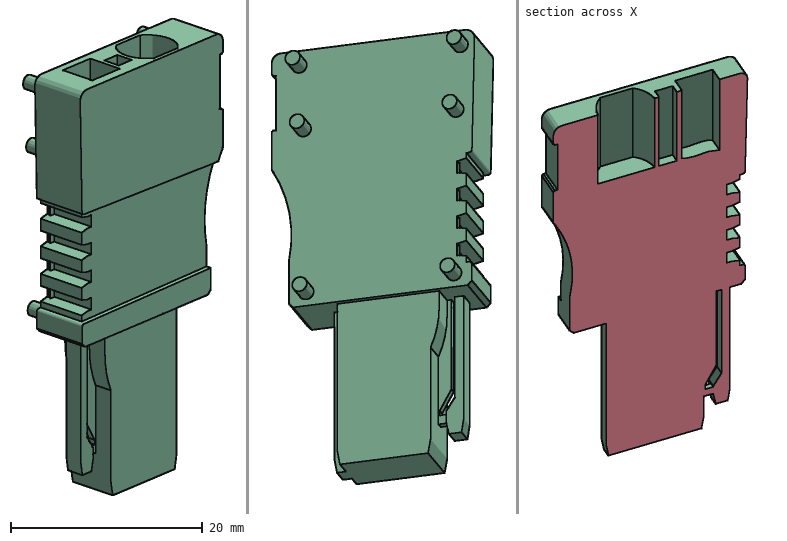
import cadquery as cq
import math

total_height = 47.3
housing_width = 6.4
housing_depth = 22.35
housing_bottom = 18.25

top_fillet = 1.05
bottom_chamfer = 0.45
front_lean = 0.3
back_foot_y = 20.45
edge_round = 0.35
pick_margin = 0.05
label_notch_top = 44.85
label_notch_bottom = 38.65
label_notch_depth = 0.45
label_notch_chamfer = 0.2
thumb_top = 34.2
thumb_middle = 26.45
thumb_depth = 2.18

grip_top = 33.3
grip_bottom = 20.9
grip_front_y = 0.9
groove_count = 4
groove_pitch = 3.1
first_groove_z = 31.85
groove_mouth = 1.75
groove_floor = 1.32
groove_depth = 0.9
groove_strip_width = 0.3
groove_strip_depth = 0.15
groove_bevel_end = 0.55
groove_pocket_depth = 0.6

side_recess_depth = 0.6
side_recess_top = 32.85
side_recess_bottom = 21.2

pin_radius = 0.8
pin_length = 2.3
pin_rows = [(45.6, 1.5, 19.25), (38.3, 2.0, 18.8), (19.78, 2.2, 18.5)]

opening_depth = 9.45
screw_hole_diameter = 6.5
screw_hole_width = 5.3
screw_hole_x = 3.2
screw_hole_y = 13.95
test_hole_side = 2.05
test_hole_x = 3.45
test_hole_y = 9.2
wire_hole_width = 4.15
wire_hole_x = 3.08
wire_hole_front = 3.25
wire_hole_back = 7.55
wire_floor_front = 4.5
wire_floor_back = 7.2
wire_rise_front = 0.25
wire_rise_back = 0.15

plug_left = 0.55
plug_right = 6.2
plug_front = 5.0
plug_back = 15.3
plug_overlap = 0.95
tip_taper_height = 1.55
tip_taper = 0.3
shoulder_front = 4.05
shoulder_top = 16.4
shoulder_bottom = 11.95

blade_left = 2.6
blade_width = 2.05
web_width = 0.8
web_left = blade_left + (blade_width - web_width) / 2
rib_back = 16.27
fin_front = 3.6
fin_bevel_top = 8.1
fin_bevel_bottom = 5.8
fin_foot_front = 4.85
latch_front = 2.05
latch_back = 3.05
latch_heel_back = 3.97
latch_heel_top = 5.4
latch_heel_bottom = 4.2
latch_bevel_top = 6.85
latch_taper_top = 4.3
latch_bottom = 2.8
latch_tip_front = 2.25
latch_tip_back = 3.7
bridge_top = 5.3
bridge_bottom = 4.3

plug_top = housing_bottom + plug_overlap


def side_plane(x):
    """Sketch plane at the given X, drawn in (Y, Z)."""
    return cq.Workplane("YZ", origin=(x, 0, 0))


def prism(points, x, width):
    """Extrude a closed (Y, Z) polygon from x toward +X."""
    return side_plane(x).polyline(points).close().extrude(width)


def make_housing():
    drop = thumb_top - thumb_middle
    thumb_radius = (drop**2 + thumb_depth**2) / (2 * thumb_depth)
    thumb_center_y = housing_depth - thumb_depth + thumb_radius
    foot_reach = thumb_center_y - back_foot_y
    thumb_end = thumb_middle - math.sqrt(thumb_radius**2 - foot_reach**2)
    notch_y = housing_depth - label_notch_depth
    overhang = front_lean * top_fillet / (total_height - top_fillet - grip_top)
    outline = (
        side_plane(0)
        .moveTo(-overhang, total_height)
        .lineTo(front_lean, grip_top)
        .lineTo(grip_front_y, grip_top)
        .lineTo(grip_front_y, grip_bottom)
        .lineTo(front_lean, grip_bottom)
        .lineTo(front_lean, housing_bottom + bottom_chamfer)
        .lineTo(front_lean + bottom_chamfer, housing_bottom)
        .lineTo(back_foot_y - bottom_chamfer, housing_bottom)
        .lineTo(back_foot_y, housing_bottom + bottom_chamfer)
        .lineTo(back_foot_y, thumb_end)
        .threePointArc((housing_depth - thumb_depth, thumb_middle), (housing_depth, thumb_top))
        .lineTo(housing_depth, label_notch_bottom - label_notch_chamfer)
        .lineTo(housing_depth - label_notch_chamfer, label_notch_bottom)
        .lineTo(notch_y, label_notch_bottom)
        .lineTo(notch_y, label_notch_top)
        .lineTo(housing_depth - label_notch_chamfer, label_notch_top)
        .lineTo(housing_depth, label_notch_top + label_notch_chamfer)
        .lineTo(housing_depth, total_height)
        .close()
    )
    housing = outline.extrude(housing_width)
    housing = housing.edges("|X").edges(">Z").fillet(top_fillet)
    for z in (grip_top, grip_bottom):
        edge_pick = cq.selectors.BoxSelector(
            (-pick_margin, front_lean - pick_margin, z - pick_margin),
            (housing_width + pick_margin, front_lean + pick_margin, z + pick_margin),
        )
        housing = housing.edges(edge_pick).fillet(edge_round)
    return housing


def make_groove(z):
    """Tapered groove across the grip, its floor lowered by a thin strip and a wide pocket."""
    floor_y = grip_front_y + groove_depth
    strip_y = floor_y + groove_strip_depth
    pocket_y = floor_y + groove_pocket_depth
    half_mouth = groove_mouth / 2
    half_floor = groove_floor / 2
    taper = prism(
        [
            (grip_front_y, z - half_mouth),
            (floor_y, z - half_floor),
            (floor_y, z + half_floor),
            (grip_front_y, z + half_mouth),
        ],
        0,
        housing_width,
    )
    floor_outline = [
        (0, strip_y),
        (groove_strip_width, strip_y),
        (groove_bevel_end, floor_y),
        (groove_bevel_end, pocket_y),
        (housing_width, pocket_y),
        (housing_width, grip_front_y),
        (0, grip_front_y),
    ]
    floor_plane = cq.Workplane("XY", origin=(0, 0, z - half_floor))
    return taper.union(floor_plane.polyline(floor_outline).close().extrude(groove_floor))


def make_side_recess():
    """Recess through the full depth whose end faces flare slightly toward the front."""
    return prism(
        [
            (0, grip_bottom),
            (0, grip_top),
            (grip_front_y, grip_top),
            (housing_depth, side_recess_top),
            (housing_depth, side_recess_bottom),
            (grip_front_y, grip_bottom),
        ],
        housing_width - side_recess_depth,
        side_recess_depth,
    )


def make_pins():
    centers = [(y, z) for z, front_y, back_y in pin_rows for y in (front_y, back_y)]
    return side_plane(0).pushPoints(centers).circle(pin_radius).extrude(-pin_length)


def make_screw_hole():
    top = cq.Workplane("XY", origin=(screw_hole_x, screw_hole_y, total_height))
    bore = top.circle(screw_hole_diameter / 2).extrude(-opening_depth)
    flats = top.rect(screw_hole_width, screw_hole_diameter).extrude(-opening_depth)
    return bore.intersect(flats)


def make_test_hole():
    top = cq.Workplane("XY", origin=(test_hole_x, test_hole_y, total_height))
    return top.rect(test_hole_side, test_hole_side).extrude(-opening_depth)


def make_wire_hole():
    """Rectangular opening whose smooth floor falls gently at the front and rises at the back."""
    floor_z = total_height - opening_depth
    floor_curve = [
        (wire_floor_front, floor_z),
        (wire_floor_back, floor_z),
        (wire_hole_back, floor_z + wire_rise_back),
    ]
    return (
        side_plane(wire_hole_x - wire_hole_width / 2)
        .moveTo(wire_hole_front, total_height)
        .lineTo(wire_hole_front, floor_z - wire_rise_front)
        .spline(floor_curve, includeCurrent=True)
        .lineTo(wire_hole_back, total_height)
        .close()
        .extrude(wire_hole_width)
    )


def make_plug():
    shoulder_step = plug_front - shoulder_front
    shoulder_drop = shoulder_top - shoulder_bottom
    shoulder_radius = (shoulder_drop**2 + shoulder_step**2) / (2 * shoulder_step)
    middle_drop = shoulder_drop / 2
    middle_y = shoulder_front + shoulder_radius - math.sqrt(shoulder_radius**2 - middle_drop**2)
    return (
        side_plane(plug_left)
        .moveTo(plug_front + tip_taper, 0)
        .lineTo(plug_front, tip_taper_height)
        .lineTo(plug_front, shoulder_bottom)
        .threePointArc((middle_y, shoulder_top - middle_drop), (shoulder_front, shoulder_top))
        .lineTo(shoulder_front, plug_top)
        .lineTo(plug_back, plug_top)
        .lineTo(plug_back, tip_taper_height)
        .lineTo(plug_back - tip_taper, 0)
        .close()
        .extrude(plug_right - plug_left)
    )


def make_rib():
    return prism(
        [
            (plug_front + tip_taper, 0),
            (plug_front, tip_taper_height),
            (plug_front, plug_top),
            (rib_back, plug_top),
            (rib_back, tip_taper_height),
            (rib_back - tip_taper, 0),
        ],
        blade_left,
        blade_width,
    )


def make_fin():
    return prism(
        [
            (plug_front, bridge_bottom),
            (fin_foot_front, bridge_bottom),
            (fin_foot_front, fin_bevel_bottom),
            (fin_front, fin_bevel_top),
            (fin_front, plug_top),
            (plug_front, plug_top),
        ],
        web_left,
        web_width,
    )


def make_latch():
    arm = prism(
        [
            (latch_front, plug_top),
            (latch_front, latch_taper_top),
            (latch_tip_front, latch_bottom),
            (latch_tip_back, latch_bottom),
            (latch_heel_back, latch_heel_bottom),
            (latch_heel_back, latch_heel_top),
            (latch_back, latch_bevel_top),
            (latch_back, plug_top),
        ],
        blade_left,
        blade_width,
    )
    bridge = prism(
        [
            (latch_heel_back, bridge_bottom),
            (latch_heel_back, bridge_top),
            (plug_front, bridge_top),
            (plug_front, bridge_bottom),
        ],
        web_left,
        web_width,
    )
    return arm.union(bridge)


housing = make_housing()
for index in range(groove_count):
    housing = housing.cut(make_groove(first_groove_z - index * groove_pitch))
for cutter in (make_side_recess(), make_screw_hole(), make_test_hole(), make_wire_hole()):
    housing = housing.cut(cutter)

result = housing
for piece in (make_pins(), make_plug(), make_rib(), make_fin(), make_latch()):
    result = result.union(piece)